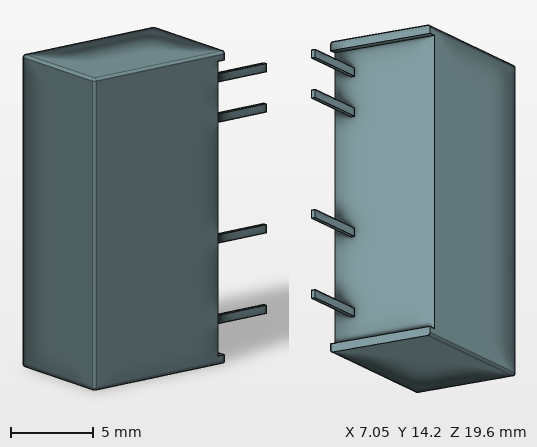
import cadquery as cq

case_width = 7.05
case_height = 19.65
overall_depth = 14.2
pin_projection = 4.15
case_depth = overall_depth - pin_projection
edge_radius = 0.18

foot_height = 0.55
foot_depth = 0.5
mounting_face_y = case_depth - foot_depth

pin_thickness = 0.25
pin_width = 0.51
pin_x = 2.24
pin_pitch = 2.53
top_pin_z = 7.82
pin_pitch_steps = [0, 1, 4, 6]
pin_length = overall_depth - mounting_face_y


def make_case():
    block = cq.Workplane("XY").box(
        case_width, case_depth, case_height, centered=(True, False, True)
    )
    block = block.edges("not >Y").fillet(edge_radius)
    recess = (
        cq.Workplane("XY")
        .box(case_width, foot_depth, case_height - 2 * foot_height, centered=(True, False, True))
        .translate((0, mounting_face_y, 0))
    )
    return block.cut(recess)


def make_pin(z):
    return (
        cq.Workplane("XY")
        .box(pin_thickness, pin_length, pin_width, centered=(True, False, True))
        .translate((pin_x, mounting_face_y, z))
    )


case = make_case()
pins = [make_pin(top_pin_z - step * pin_pitch) for step in pin_pitch_steps]

result = cq.Compound.makeCompound([case.val(), *[pin.val() for pin in pins]])